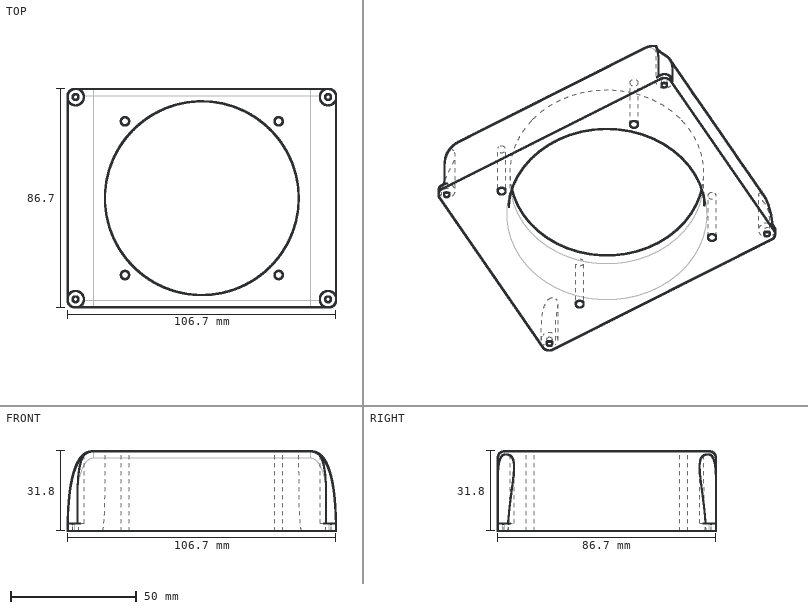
import cadquery as cq

length = 106.7
width = 86.7
height = 31.8

end_run = 10.2
edge_radius = 2.8

bore_diameter = 76.9
bore_depth = 6.5
mouth_flare = 1.3

fan_hole_diameter = 3.2
fan_hole_pitch = 61.0

ear_inset = 3.2
ear_thickness = 3.0
ear_radius = 3.3
ear_hole_diameter = 2.2
ear_pitch_x = length - 2 * ear_inset
ear_pitch_y = width - 2 * ear_inset


def rounded_body():
    """Block whose two ends curve from upright at the base to level at the top."""
    half_length = length / 2
    half_top = half_length - end_run
    body = (
        cq.Workplane("XZ", origin=(0, width / 2, 0))
        .moveTo(-half_length, 0)
        .bezier([(-half_length, 0), (-half_length, height), (-half_top, height)])
        .lineTo(half_top, height)
        .bezier([(half_top, height), (half_length, height), (half_length, 0)])
        .close()
        .extrude(width)
    )
    return body.faces("<Y or >Y").edges("not <Z").fillet(edge_radius)


def air_duct():
    """Straight bore that opens along a smooth curve towards the base."""
    bore_radius = bore_diameter / 2
    mouth_radius = bore_radius + mouth_flare
    flare_height = height - bore_depth
    return (
        cq.Workplane("XZ")
        .moveTo(0, 0)
        .lineTo(mouth_radius, 0)
        .bezier([(mouth_radius, 0), (bore_radius, 0), (bore_radius, flare_height)])
        .lineTo(bore_radius, height)
        .lineTo(0, height)
        .close()
        .revolve(360, (0, 0, 0), (0, 1, 0))
    )


def upright_cylinders(pitch_x, pitch_y, radius, bottom):
    """Four cylinders on a rectangle, from the given level up to the top."""
    return (
        cq.Workplane("XY")
        .workplane(offset=bottom)
        .rect(pitch_x, pitch_y, forConstruction=True)
        .vertices()
        .circle(radius)
        .extrude(height - bottom)
    )


def corner_trims():
    """Tips of the four corners that lie outside the round ear outlines."""
    tips = (
        cq.Workplane("XY")
        .rect(length - ear_inset, width - ear_inset, forConstruction=True)
        .vertices()
        .rect(ear_inset, ear_inset)
        .extrude(height)
    )
    return tips.cut(upright_cylinders(ear_pitch_x, ear_pitch_y, ear_radius, 0))


result = (
    rounded_body()
    .cut(air_duct())
    .cut(upright_cylinders(fan_hole_pitch, fan_hole_pitch, fan_hole_diameter / 2, 0))
    .cut(corner_trims())
    .cut(upright_cylinders(ear_pitch_x, ear_pitch_y, ear_radius, ear_thickness))
    .cut(upright_cylinders(ear_pitch_x, ear_pitch_y, ear_hole_diameter / 2, 0))
)